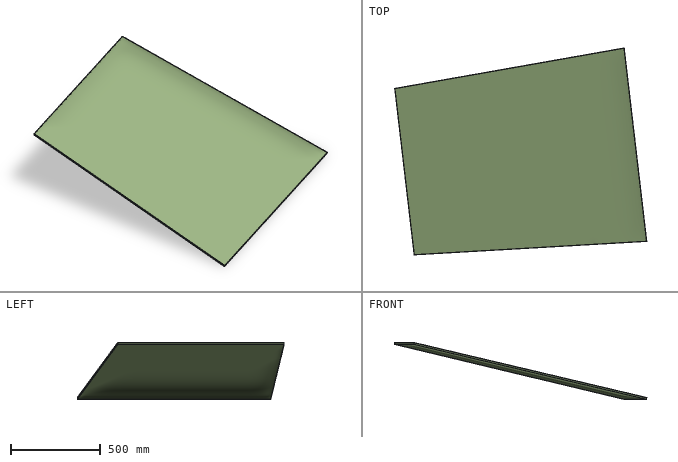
import cadquery as cq
import math

THICKNESS = 10.0
SLOPE_LENGTH = 1335.3
SLOPE_ANGLE = 13.2963
HEADING_ANGLE = 6.66

UPPER_EDGE_LENGTH = 936.0
LOWER_EDGE_LENGTH = 1087.7
LOWER_EDGE_OVERHANG = 75.85

slope = math.radians(SLOPE_ANGLE)
plan_length = SLOPE_LENGTH * math.cos(slope)
drop = SLOPE_LENGTH * math.sin(slope)


def make_sloping_slab():
    """Slab spanning the whole width: plumb cut at the upper edge, square cut at the lower edge."""
    plumb_height = THICKNESS / math.cos(slope)
    profile = [
        (0, 0),
        (plan_length, -drop),
        (plan_length - THICKNESS * math.sin(slope), -drop - THICKNESS * math.cos(slope)),
        (0, -plumb_height),
    ]
    slab_start = LOWER_EDGE_OVERHANG - LOWER_EDGE_LENGTH
    return (
        cq.Workplane("XZ", origin=(0, slab_start, 0))
        .polyline(profile)
        .close()
        .extrude(-LOWER_EDGE_LENGTH)
    )


def make_plan_prism():
    """Vertical prism over the panel's plan outline, as deep as the slab."""
    outline = [
        (0, 0),
        (0, -UPPER_EDGE_LENGTH),
        (plan_length, LOWER_EDGE_OVERHANG - LOWER_EDGE_LENGTH),
        (plan_length, LOWER_EDGE_OVERHANG),
    ]
    total_height = drop + THICKNESS * math.cos(slope)
    return cq.Workplane("XY").polyline(outline).close().extrude(-total_height)


panel = make_sloping_slab().intersect(make_plan_prism())
result = panel.rotate((0, 0, 0), (0, 0, 1), HEADING_ANGLE)